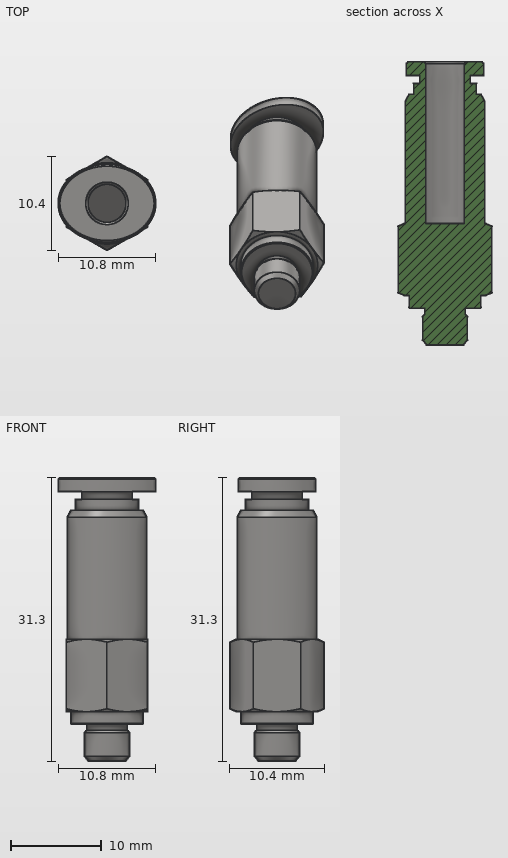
import cadquery as cq
import math

THREAD_CHAMFER_TOP = 0.55
THREAD_TOP = 3.15
RELIEF_BOTTOM = 3.4
COLLAR_BOTTOM = 4.05
HEX_LENGTH = 8.0
HEX_BOTTOM = 5.45
HEX_TOP = HEX_BOTTOM + HEX_LENGTH
SLEEVE_CHAMFER_BOTTOM = 26.95
SLEEVE_TOP = 27.7
GUIDE_TOP = 28.9
RING_BOTTOM = 29.75
TOTAL_HEIGHT = 31.3

THREAD_TIP_DIAMETER = 4.1
THREAD_DIAMETER = 5.0
RELIEF_DIAMETER = 4.5
COLLAR_DIAMETER = 8.0
SLEEVE_DIAMETER = 8.8
SLEEVE_TOP_DIAMETER = 8.0
GUIDE_DIAMETER = 7.0
NECK_DIAMETER = 5.6
COLLAR_CHAMFER = 0.1

HEX_ACROSS_FLATS = 9.0
HEX_HALF_SIDE_ANGLE = 30
HEX_ACROSS_CORNERS = HEX_ACROSS_FLATS / math.cos(math.radians(HEX_HALF_SIDE_ANGLE))
HEX_CHAMFER_ANGLE = 25
HEX_CHAMFER_DIAMETER = HEX_ACROSS_FLATS

RING_LENGTH = 10.8
RING_WIDTH = 8.6
RING_CHAMFER = 0.2

SOCKET_DIAMETER = 4.2
SOCKET_CHAMFER = 0.25
SOCKET_FLOOR = HEX_TOP


def revolve_about_z(profile):
    """Full revolution of a closed (radius, height) outline about the Z axis."""
    return cq.Workplane("XZ").polyline(profile).close().revolve(360, (0, 0), (0, 1))


def turned_body():
    """Threaded end, collar, sleeve, guide and neck as one revolved profile."""
    collar_radius = COLLAR_DIAMETER / 2
    profile = [
        (0, 0),
        (THREAD_TIP_DIAMETER / 2, 0),
        (THREAD_DIAMETER / 2, THREAD_CHAMFER_TOP),
        (THREAD_DIAMETER / 2, THREAD_TOP),
        (RELIEF_DIAMETER / 2, RELIEF_BOTTOM),
        (RELIEF_DIAMETER / 2, COLLAR_BOTTOM),
        (collar_radius - COLLAR_CHAMFER, COLLAR_BOTTOM),
        (collar_radius, COLLAR_BOTTOM + COLLAR_CHAMFER),
        (collar_radius, HEX_BOTTOM),
        (SLEEVE_DIAMETER / 2, HEX_BOTTOM),
        (SLEEVE_DIAMETER / 2, SLEEVE_CHAMFER_BOTTOM),
        (SLEEVE_TOP_DIAMETER / 2, SLEEVE_TOP),
        (GUIDE_DIAMETER / 2, SLEEVE_TOP),
        (GUIDE_DIAMETER / 2, GUIDE_TOP),
        (NECK_DIAMETER / 2, GUIDE_TOP),
        (NECK_DIAMETER / 2, RING_BOTTOM),
        (0, RING_BOTTOM),
    ]
    return revolve_about_z(profile)


def hexagon():
    """Hexagon with flats facing +X and -X and both ends chamfered by a cone."""
    prism = (
        cq.Workplane("XY", origin=(0, 0, HEX_BOTTOM))
        .polygon(6, HEX_ACROSS_CORNERS)
        .extrude(HEX_TOP - HEX_BOTTOM)
        .rotate((0, 0, 0), (0, 0, 1), HEX_HALF_SIDE_ANGLE)
    )
    face_radius = HEX_CHAMFER_DIAMETER / 2
    corner_radius = HEX_ACROSS_CORNERS / 2
    outer_radius = 2 * corner_radius - face_radius
    drop = (outer_radius - face_radius) * math.tan(math.radians(HEX_CHAMFER_ANGLE))
    envelope_profile = [
        (0, HEX_BOTTOM),
        (face_radius, HEX_BOTTOM),
        (outer_radius, HEX_BOTTOM + drop),
        (outer_radius, HEX_TOP - drop),
        (face_radius, HEX_TOP),
        (0, HEX_TOP),
    ]
    envelope = revolve_about_z(envelope_profile)
    return prism.intersect(envelope)


def release_ring():
    """Oval plate on top, long along X, with its upper rim chamfered."""
    return (
        cq.Workplane("XY", origin=(0, 0, RING_BOTTOM))
        .ellipse(RING_LENGTH / 2, RING_WIDTH / 2)
        .extrude(TOTAL_HEIGHT - RING_BOTTOM)
        .faces(">Z")
        .edges()
        .chamfer(RING_CHAMFER)
    )


def tube_socket():
    """Blind bore from the top with a chamfered mouth."""
    radius = SOCKET_DIAMETER / 2
    profile = [
        (0, SOCKET_FLOOR),
        (radius, SOCKET_FLOOR),
        (radius, TOTAL_HEIGHT - SOCKET_CHAMFER),
        (radius + SOCKET_CHAMFER, TOTAL_HEIGHT),
        (0, TOTAL_HEIGHT),
    ]
    return revolve_about_z(profile)


result = turned_body().union(hexagon()).union(release_ring()).cut(tube_socket())